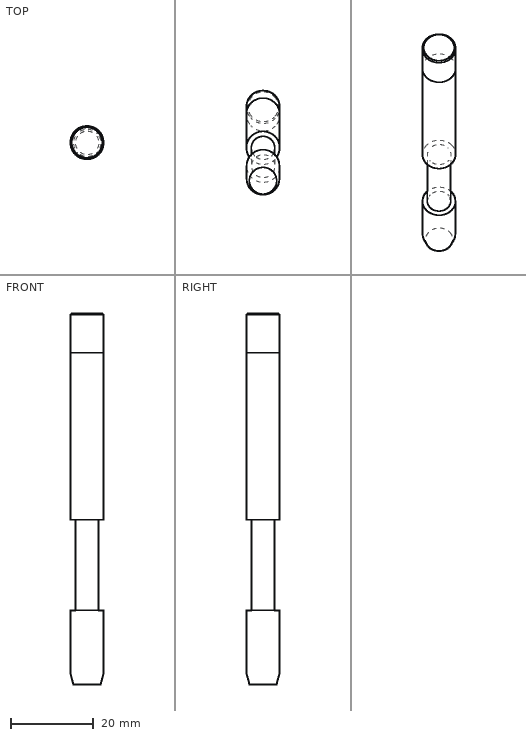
import cadquery as cq
import math

total_length = 90.0
outer_diameter = 8.1

foot_diameter = 8.0
foot_height = 18.0
foot_taper_height = 2.6
foot_taper_angle = 15.0
neck_diameter = 5.7
shank_bottom = 40.0

cap_height = 9.5
cap_chamfer = 0.4

outer_radius = outer_diameter / 2
foot_radius = foot_diameter / 2
neck_radius = neck_diameter / 2
cap_bottom = total_length - cap_height
foot_end_radius = foot_radius - foot_taper_height * math.tan(math.radians(foot_taper_angle))


def make_pin():
    """Tapered foot, slender neck and full-diameter shank, turned about Z."""
    half_profile = (
        cq.Workplane("XZ")
        .lineTo(foot_end_radius, 0)
        .lineTo(foot_radius, foot_taper_height)
        .lineTo(foot_radius, foot_height)
        .lineTo(neck_radius, foot_height)
        .lineTo(neck_radius, shank_bottom)
        .lineTo(outer_radius, shank_bottom)
        .lineTo(outer_radius, cap_bottom)
        .lineTo(0, cap_bottom)
        .close()
    )
    return half_profile.revolve(360, (0, 0, 0), (0, 1, 0))


def make_cap():
    """Round cap resting on the shank, with a chamfered top rim."""
    return (
        cq.Workplane("XY")
        .workplane(offset=cap_bottom)
        .circle(outer_radius)
        .extrude(cap_height)
        .faces(">Z")
        .chamfer(cap_chamfer)
    )


pin = make_pin()
cap = make_cap()

result = cq.Compound.makeCompound([pin.val(), cap.val()])